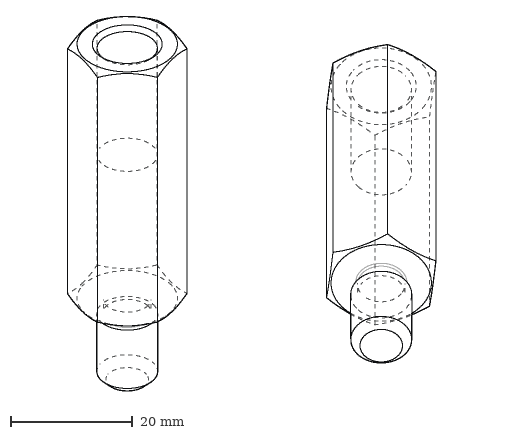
import cadquery as cq
import math

total_length = 66.0
hex_length = 50.0
across_flats = 17.0
across_corners = across_flats / math.cos(math.radians(30))
stud_length = total_length - hex_length

end_face_diameter = 16.5
end_chamfer_angle = 30.0

stud_diameter = 10.0
neck_diameter = 7.8
neck_length = 3.0
neck_fillet = 0.3
tip_chamfer = 1.5

bore_diameter = 9.9
bore_depth = 21.8
bore_mouth_diameter = 11.5


def hexagon_body():
    """Hexagonal bar with corners along Y, both ends trimmed by a cone."""
    bar = (
        cq.Workplane("XY")
        .polygon(6, across_corners)
        .extrude(hex_length)
        .rotate((0, 0, 0), (0, 0, 1), 90)
        .translate((0, 0, stud_length))
    )
    face_radius = end_face_diameter / 2
    corner_radius = across_corners / 2
    cone_drop = (corner_radius - face_radius) * math.tan(math.radians(end_chamfer_angle))
    envelope = (
        cq.Workplane("XZ")
        .moveTo(0, stud_length)
        .lineTo(face_radius, stud_length)
        .lineTo(corner_radius, stud_length + cone_drop)
        .lineTo(corner_radius, total_length - cone_drop)
        .lineTo(face_radius, total_length)
        .lineTo(0, total_length)
        .close()
        .revolve(360, (0, 0, 0), (0, 1, 0))
    )
    return bar.intersect(envelope)


def stud():
    """Chamfered stud with a narrower neck that flares at both of its ends."""
    shank_length = stud_length - neck_length
    shank_radius = stud_diameter / 2
    neck_radius = neck_diameter / 2
    flare_radius = neck_radius + neck_fillet
    arc_inset = neck_fillet * (1 - math.sqrt(0.5))
    return (
        cq.Workplane("XZ")
        .lineTo(shank_radius - tip_chamfer, 0)
        .lineTo(shank_radius, tip_chamfer)
        .lineTo(shank_radius, shank_length)
        .lineTo(flare_radius, shank_length)
        .threePointArc(
            (neck_radius + arc_inset, shank_length + arc_inset),
            (neck_radius, shank_length + neck_fillet),
        )
        .lineTo(neck_radius, stud_length - neck_fillet)
        .threePointArc(
            (neck_radius + arc_inset, stud_length - arc_inset),
            (flare_radius, stud_length),
        )
        .lineTo(0, stud_length)
        .close()
        .revolve(360, (0, 0, 0), (0, 1, 0))
    )


def bore():
    """Blind bore with a 45 degree countersunk mouth."""
    bore_radius = bore_diameter / 2
    mouth_radius = bore_mouth_diameter / 2
    mouth_depth = mouth_radius - bore_radius
    return (
        cq.Workplane("XZ")
        .moveTo(0, total_length)
        .lineTo(mouth_radius, total_length)
        .lineTo(bore_radius, total_length - mouth_depth)
        .lineTo(bore_radius, total_length - bore_depth)
        .lineTo(0, total_length - bore_depth)
        .close()
        .revolve(360, (0, 0, 0), (0, 1, 0))
    )


result = hexagon_body().union(stud()).cut(bore())